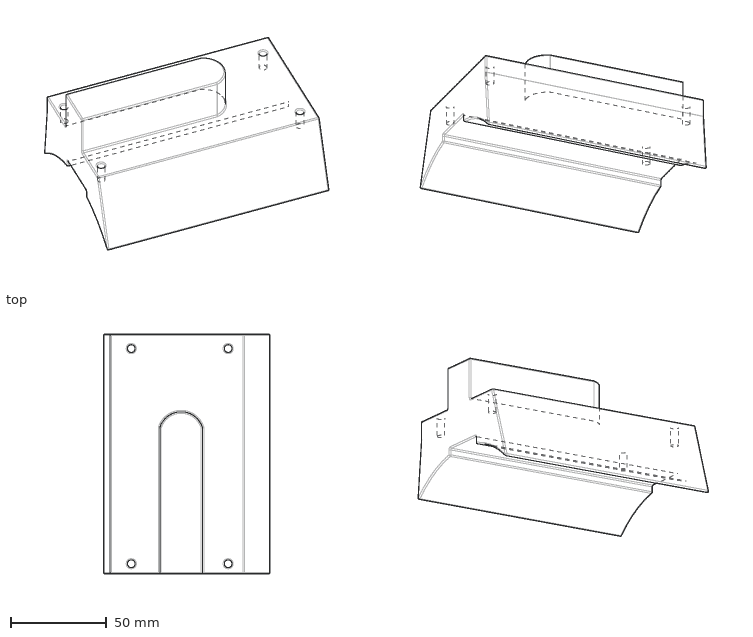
import cadquery as cq
import math

length = 125.0
left_tip_x = -43.5
right_tip_x = 44.2
left_tip_z = -1.2
right_tip_z = 0.0

shelf_z = 41.5
shelf_left_x = -39.9
shelf_right_x = 30.0
upright_wall_height = 10.0

ridge_width = 22.2
ridge_center_x = -2.9
ridge_top_z = 63.9
ridge_nose_y = 22.0
ridge_shoulder_y = 13.8

saddle_radius = 63.8
channel_width = 25.6
channel_center_x = 1.1
channel_top_z = 19.6

hole_diameter = 4.0
hole_depth = 10.0
hole_spacing_x = 50.5
hole_spacing_y = 112.1
hole_center_x = -3.6
hole_center_y = -1.1
hole_edge_round = 0.6

edge_round = 0.8


def saddle_mid_point():
    """Point on the saddle arc halfway between the two tips."""
    span_x = right_tip_x - left_tip_x
    span_z = right_tip_z - left_tip_z
    chord = math.hypot(span_x, span_z)
    sagitta = saddle_radius - math.sqrt(saddle_radius**2 - (chord / 2) ** 2)
    mid_x = (left_tip_x + right_tip_x) / 2
    mid_z = (left_tip_z + right_tip_z) / 2
    return (mid_x - sagitta * span_z / chord, mid_z + sagitta * span_x / chord)


def make_body():
    """Cross-section swept along the whole length, centred on Y = 0."""
    outline = (
        cq.Workplane("XZ")
        .moveTo(left_tip_x, left_tip_z)
        .lineTo(shelf_left_x, shelf_z - upright_wall_height)
        .lineTo(shelf_left_x, shelf_z)
        .lineTo(shelf_right_x, shelf_z)
        .lineTo(right_tip_x, right_tip_z)
        .threePointArc(saddle_mid_point(), (left_tip_x, left_tip_z))
        .close()
    )
    body = outline.extrude(length / 2, both=True)
    channel = (
        cq.Workplane("XY")
        .center(channel_center_x, 0)
        .rect(channel_width, length)
        .extrude(channel_top_z)
    )
    return body.cut(channel)


def make_ridge():
    """Ridge with straight sides and a shallow arc for a nose."""
    left_x = ridge_center_x - ridge_width / 2
    right_x = ridge_center_x + ridge_width / 2
    return (
        cq.Workplane("XY", origin=(0, 0, shelf_z))
        .moveTo(left_x, -length / 2)
        .lineTo(left_x, ridge_shoulder_y)
        .threePointArc((ridge_center_x, ridge_nose_y), (right_x, ridge_shoulder_y))
        .lineTo(right_x, -length / 2)
        .close()
        .extrude(ridge_top_z - shelf_z)
    )


def cut_holes(solid):
    """Four blind holes in the shelf with rounded mouths."""
    mouth_radius = hole_diameter / 2 + hole_edge_round
    hole = (
        cq.Workplane("XZ")
        .lineTo(mouth_radius, 0)
        .radiusArc((hole_diameter / 2, -hole_edge_round), -hole_edge_round)
        .lineTo(hole_diameter / 2, -hole_depth)
        .lineTo(0, -hole_depth)
        .close()
        .revolve(360, (0, 0, 0), (0, 1, 0))
    )
    for side_x in (-1, 1):
        for side_y in (-1, 1):
            x = hole_center_x + side_x * hole_spacing_x / 2
            y = hole_center_y + side_y * hole_spacing_y / 2
            solid = solid.cut(hole.translate((x, y, shelf_z)))
    return solid


block = make_body().union(make_ridge())
rounded_block = block.edges().fillet(edge_round)
result = cut_holes(rounded_block)